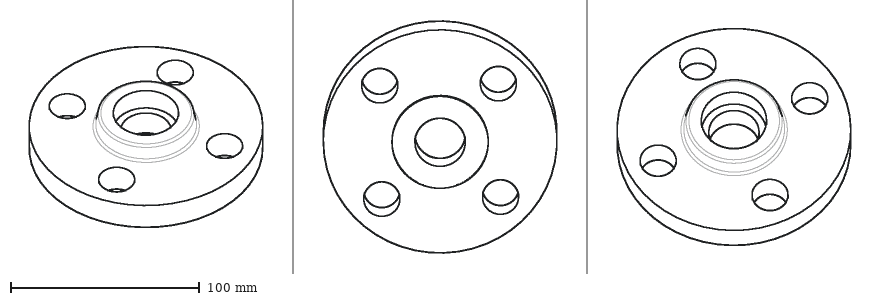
import cadquery as cq
import math

flange_diameter = 123.9
flange_thickness = 15.9

face_diameter = 51.0
face_height = 1.6

hub_height = 9.5
hub_base_diameter = 53.9
hub_taper_angle = 10.0
hub_fillet_radius = 1.5

bore_diameter = 26.6
socket_diameter = 34.6
socket_depth = 12.5

bolt_hole_count = 4
bolt_hole_diameter = 19.1
bolt_circle_diameter = 89.0

flange_bottom = face_height
flange_top = flange_bottom + flange_thickness
hub_top = flange_top + hub_height
socket_floor = hub_top - socket_depth


def disc(diameter, bottom, top):
    return cq.Workplane("XY", origin=(0, 0, bottom)).circle(diameter / 2).extrude(top - bottom)


def plate_with_hub():
    """Plate and conical hub, rounded at the hub's foot and at its rim."""
    hub_base_radius = hub_base_diameter / 2
    hub_top_radius = hub_base_radius - hub_height * math.tan(math.radians(hub_taper_angle))
    profile = (
        cq.Workplane("XZ")
        .moveTo(0, flange_bottom)
        .lineTo(flange_diameter / 2, flange_bottom)
        .lineTo(flange_diameter / 2, flange_top)
        .lineTo(hub_base_radius, flange_top)
        .lineTo(hub_top_radius, hub_top)
        .lineTo(0, hub_top)
        .close()
    )
    blank = profile.revolve(360, (0, 0, 0), (0, 1, 0))

    margin = 1.2
    reach = hub_base_radius + margin
    hub_box = cq.selectors.BoxSelector(
        (-reach, -reach, flange_top - margin),
        (reach, reach, hub_top + margin),
        boundingbox=True,
    )
    return blank.edges("%CIRCLE").edges(hub_box).fillet(hub_fillet_radius)


def bolt_holes():
    return (
        cq.Workplane("XY", origin=(0, 0, flange_bottom))
        .polarArray(bolt_circle_diameter / 2, 0, 360, bolt_hole_count)
        .circle(bolt_hole_diameter / 2)
        .extrude(flange_thickness)
    )


sealing_face = disc(face_diameter, 0, flange_bottom)
bore = disc(bore_diameter, 0, hub_top)
socket = disc(socket_diameter, socket_floor, hub_top)

result = plate_with_hub().union(sealing_face).cut(bore).cut(socket).cut(bolt_holes())